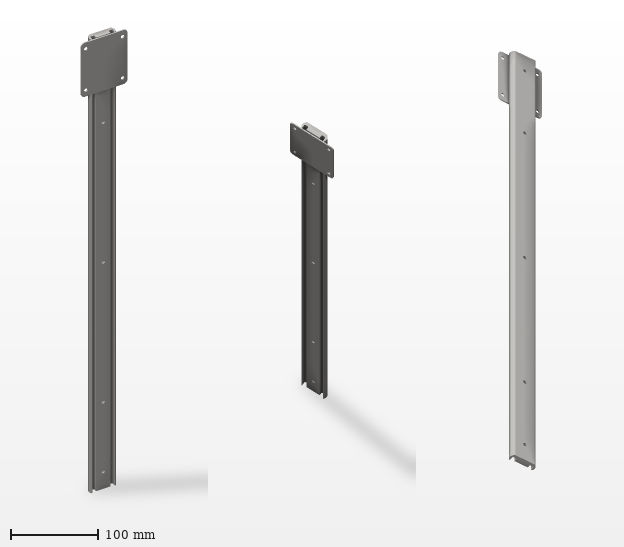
import cadquery as cq
import math

rail_length = 660.5
total_depth = 11.0

plate_thickness = 1.45
plate_width = 60.0
plate_height = 78.5
plate_corner_radius = 5.0
plate_hole_radius = 2.4
plate_hole_inset_z = 9.0
plate_hole_half_spacing = 24.0

rail_depth = total_depth - plate_thickness
face_half_width = 12.5
bend_radius = 3.8
bend_angle = math.radians(70)
side_bulge_x = 5.0
rail_half_width = 17.0
lip_half_width = 15.0

channel_floor_x = 4.0
channel_inner_y = 9.0
channel_outer_y = 14.5
channel_floor_radius = 1.0
web_recess = 1.0

rail_hole_radius = 2.4
rail_hole_pitch = 203.5
rail_end_hole_offset = 1.5 * rail_hole_pitch


def x_cylinder(y, z, radius):
    """Cylinder along X through the full depth, used to cut a hole."""
    return cq.Workplane("YZ").center(y, z).circle(radius).extrude(total_depth)


def bend_point(angle, side):
    """Point on the outer bend, at an angle from the flat face."""
    x = bend_radius * (1 - math.cos(angle))
    y = face_half_width + bend_radius * math.sin(angle)
    return (x, side * y)


def rail_outline():
    """Flat outer face, a bend at each edge and bulged sides that curl in."""
    return (
        cq.Workplane("XY")
        .moveTo(0, -face_half_width)
        .lineTo(0, face_half_width)
        .threePointArc(bend_point(bend_angle / 2, 1), bend_point(bend_angle, 1))
        .threePointArc((side_bulge_x, rail_half_width), (rail_depth, lip_half_width))
        .lineTo(rail_depth, -lip_half_width)
        .threePointArc((side_bulge_x, -rail_half_width), bend_point(bend_angle, -1))
        .threePointArc(bend_point(bend_angle / 2, -1), (0, -face_half_width))
        .close()
    )


def channel(side):
    """Lengthwise channel between the web and one side, open towards +X."""
    depth = rail_depth - channel_floor_x
    width = channel_outer_y - channel_inner_y
    middle_y = side * (channel_inner_y + channel_outer_y) / 2
    return (
        cq.Workplane("XY")
        .box(depth, width, rail_length, centered=(False, True, False))
        .edges("|Z and <X")
        .fillet(channel_floor_radius)
        .translate((channel_floor_x, middle_y, 0))
    )


def make_rail():
    rail = rail_outline().extrude(rail_length)
    for side in (-1, 1):
        rail = rail.cut(channel(side))

    recess = cq.Workplane("XY").box(
        web_recess, channel_inner_y + channel_outer_y, rail_length, centered=(False, True, False)
    )
    rail = rail.cut(recess.translate((rail_depth - web_recess, 0, 0)))

    hole_offsets = (-rail_end_hole_offset, -rail_hole_pitch, 0, rail_hole_pitch, rail_end_hole_offset)
    for offset in hole_offsets:
        rail = rail.cut(x_cylinder(0, rail_length / 2 + offset, rail_hole_radius))
    return rail


def make_plate():
    """Flat plate on the open side of the rail, flush with its top end."""
    plate_bottom = rail_length - plate_height
    plate = (
        cq.Workplane("XY")
        .box(plate_thickness, plate_width, plate_height, centered=(False, True, False))
        .edges("|X")
        .fillet(plate_corner_radius)
        .translate((rail_depth, 0, plate_bottom))
    )
    for side in (-1, 1):
        for z in (plate_bottom + plate_hole_inset_z, rail_length - plate_hole_inset_z):
            plate = plate.cut(x_cylinder(side * plate_hole_half_spacing, z, plate_hole_radius))
    return plate


rail = make_rail()
plate = make_plate()
result = cq.Compound.makeCompound([rail.val(), plate.val()])